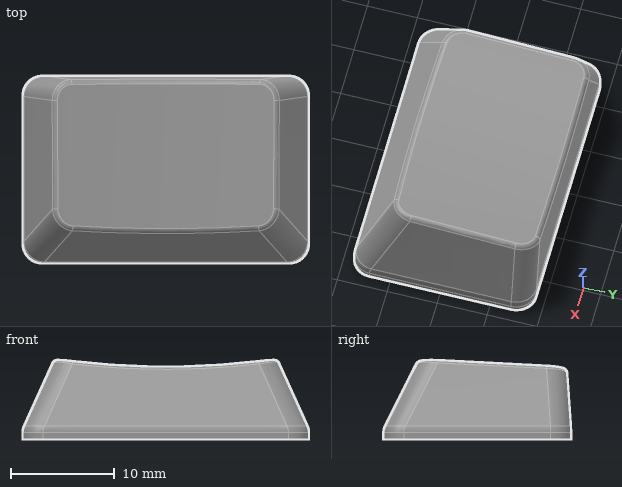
import cadquery as cq
import math

length = 27.7
width = 18.16
corner_radius = 2.0

skirt_height = 0.66
blend_height = 0.66
blank_front_height = 8.3
side_slope = 24.1
front_slope = 26.7
rear_slope = 4.0

dish_radius = 73.93
dish_tilt = 3.0
dish_front_height = 7.05
front_rim_y = -5.81
rim_radius = 0.5


def outline_at(z, inset_rise):
    """Rounded outline at height z, drawn in as far as a full slope of inset_rise would take it."""
    side_inset = inset_rise * math.tan(math.radians(side_slope))
    front_inset = inset_rise * math.tan(math.radians(front_slope))
    rear_inset = inset_rise * math.tan(math.radians(rear_slope))
    outline = cq.Sketch().rect(length - 2 * side_inset, width - front_inset - rear_inset)
    outline = outline.vertices().fillet(corner_radius)
    return outline.moved(cq.Location(cq.Vector(0, (front_inset - rear_inset) / 2, z)))


def make_skirt():
    return cq.Workplane("XY").placeSketch(outline_at(0, 0)).extrude(skirt_height)


def make_blend():
    """Parabolic band that is vertical at the skirt and runs smoothly into the walls."""
    sections = []
    for fraction in (0, 0.5, 1):
        z = skirt_height + fraction * blend_height
        sections.append(outline_at(z, fraction**2 * blend_height / 2))
    return cq.Workplane("XY").placeSketch(*sections).loft()


def make_walls():
    """Walls rising to an outline leaning with the dish, so that both side rims run parallel to Y."""
    wall_start = skirt_height + blend_height
    slope_origin = skirt_height + blend_height / 2
    lower = outline_at(wall_start, blend_height / 2)

    lean = math.tan(math.radians(dish_tilt))
    front_rise = blank_front_height - slope_origin
    front_y = -width / 2 + front_rise * math.tan(math.radians(front_slope))
    rear_tangent = math.tan(math.radians(rear_slope))
    rear_y = (width / 2 - rear_tangent * (front_rise + lean * front_y)) / (1 - rear_tangent * lean)
    center_y = (front_y + rear_y) / 2
    center_z = blank_front_height - lean * (center_y - front_y)

    top_length = length - 2 * front_rise * math.tan(math.radians(side_slope))
    top_width = (rear_y - front_y) / math.cos(math.radians(dish_tilt))
    upper = cq.Sketch().rect(top_length, top_width).vertices().fillet(corner_radius)
    leaning = cq.Location(cq.Vector(0, center_y, center_z), cq.Vector(1, 0, 0), -dish_tilt)
    return cq.Workplane("XY").placeSketch(lower, upper.moved(leaning)).loft(ruled=True)


def make_dish_cutter():
    tilt = math.radians(dish_tilt)
    axis = cq.Vector(0, math.cos(tilt), -math.sin(tilt))
    start = cq.Vector(
        0,
        front_rim_y + dish_radius * math.sin(tilt),
        dish_front_height + dish_radius * math.cos(tilt),
    )
    overrun = width
    cutter_length = width + 2 * overrun
    cutter = cq.Solid.makeCylinder(dish_radius, cutter_length, start - axis * overrun, axis)
    return cq.Workplane(cutter)


blank = make_skirt().union(make_blend()).union(make_walls())
dished = blank.cut(make_dish_cutter())
rim_edges = dished.faces(cq.selectors.NearestToPointSelector((0, 0, dish_front_height))).edges()
result = rim_edges.fillet(rim_radius)